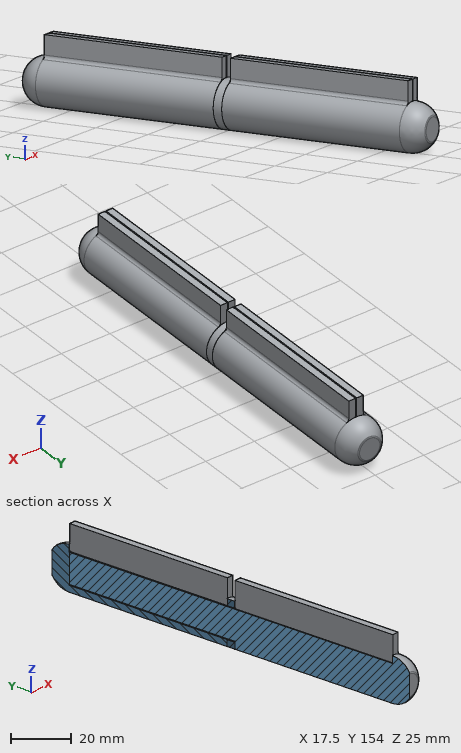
import cadquery as cq
import math


LENGTH = 154.0
BARREL_DIAMETER = 17.5
TOTAL_HEIGHT = 25.0

PIN_DIAMETER = 11.9
BORE_DIAMETER = 12.2
WASHER_THICKNESS = 3.2

FLANGE_PAIR_WIDTH = 6.0
SLIT_WIDTH = 0.5
FOOT_RADIUS = 1.5

CAP_LENGTH = 7.5
CAP_RIM_RADIUS = 1.0

barrel_radius = BARREL_DIAMETER / 2
flange_top = TOTAL_HEIGHT - barrel_radius
washer_face = WASHER_THICKNESS / 2
leaf_end = LENGTH / 2
cap_start = leaf_end - CAP_LENGTH
knuckle_length = cap_start - washer_face
knuckle_middle = (washer_face + cap_start) / 2


def make_cylinder(diameter, start, end):
    """Cylinder on the barrel axis between two positions along Y."""
    plane = cq.Workplane("XZ", origin=(0, start, 0))
    return plane.circle(diameter / 2).extrude(start - end)


def make_cap():
    """Sphere tangent to the barrel, cut off flat at the outer end, with a rounded rim."""
    flat_radius = math.sqrt(barrel_radius**2 - CAP_LENGTH**2)
    mid_angle = math.asin(CAP_LENGTH / barrel_radius) / 2
    arc_middle = (
        barrel_radius * math.cos(mid_angle),
        cap_start + barrel_radius * math.sin(mid_angle),
    )
    profile = (
        cq.Workplane("XY")
        .moveTo(0, cap_start)
        .lineTo(barrel_radius, cap_start)
        .threePointArc(arc_middle, (flat_radius, leaf_end))
        .lineTo(0, leaf_end)
        .close()
    )
    cap = profile.revolve(360, (0, 0, 0), (0, 1, 0))
    return cap.edges(">Y").fillet(CAP_RIM_RADIUS)


def make_upright_block(width):
    """Block as long as the knuckle, from the barrel axis to the flange top."""
    plane = cq.Workplane("XY", origin=(0, knuckle_middle, 0))
    return plane.rect(width, knuckle_length).extrude(flange_top)


def make_knuckle(bore_diameter):
    """Bored knuckle with filleted flanges and the slit between them."""
    barrel = make_cylinder(BARREL_DIAMETER, washer_face, cap_start)
    knuckle = barrel.union(make_upright_block(FLANGE_PAIR_WIDTH))

    foot_zone = cq.selectors.BoxSelector(
        (-FLANGE_PAIR_WIDTH, washer_face, barrel_radius / 2),
        (FLANGE_PAIR_WIDTH, cap_start, barrel_radius),
    )
    knuckle = knuckle.edges("|Y").edges(foot_zone).fillet(FOOT_RADIUS)

    bore = make_cylinder(bore_diameter, washer_face, cap_start)
    return knuckle.cut(bore).cut(make_upright_block(SLIT_WIDTH))


def make_bored_leaf(bore_diameter):
    """Capped leaf on the +Y side of the washer."""
    return make_knuckle(bore_diameter).union(make_cap())


def make_pin_leaf():
    """Leaf on the -Y side; its pin fills its own bore and reaches to the end of the other one."""
    leaf = make_bored_leaf(PIN_DIAMETER).rotate((0, 0, 0), (0, 0, 1), 180)
    pin = make_cylinder(PIN_DIAMETER, -cap_start, cap_start)
    return leaf.union(pin)


def make_washer():
    """Ring around the pin, flush with the knuckles."""
    disc = make_cylinder(BARREL_DIAMETER, -washer_face, washer_face)
    return disc.cut(make_cylinder(BORE_DIAMETER, -washer_face, washer_face))


pin_leaf = make_pin_leaf()
turning_leaf = make_bored_leaf(BORE_DIAMETER)
washer = make_washer()

bodies = [pin_leaf, turning_leaf, washer]
result = cq.Compound.makeCompound([body.solids().val() for body in bodies])